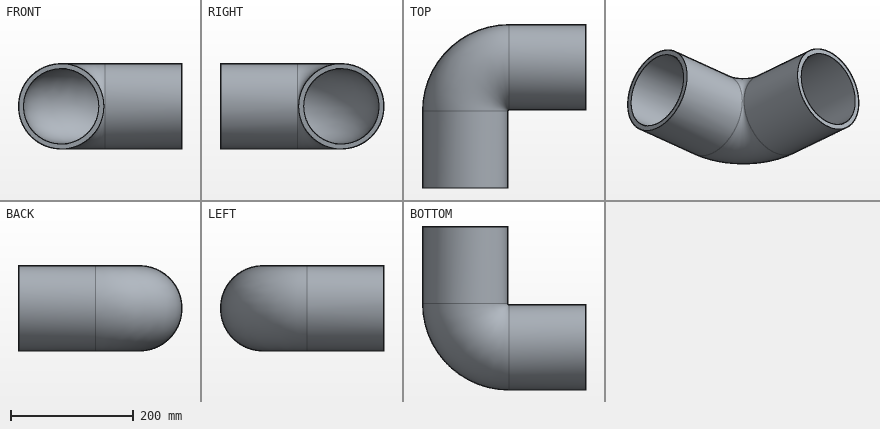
import cadquery as cq
import math

outer_diameter = 140.0
bore_diameter = 123.4
overall_length = 268.0
bend_radius = 72.0

leg_reach = overall_length - outer_diameter / 2

bend_middle = bend_radius * (1 - math.sqrt(0.5))


def centreline():
    """Path along the pipe axis: straight leg, quarter bend, straight leg."""
    return (
        cq.Workplane("XY")
        .moveTo(0, -leg_reach)
        .lineTo(0, -bend_radius)
        .threePointArc((bend_middle, -bend_middle), (bend_radius, 0))
        .lineTo(leg_reach, 0)
    )


def swept_round(diameter):
    """Solid round bar of the given diameter along the elbow centreline."""
    open_end = cq.Workplane("XZ", origin=(0, -leg_reach, 0))
    return open_end.circle(diameter / 2).sweep(centreline())


result = swept_round(outer_diameter).cut(swept_round(bore_diameter))